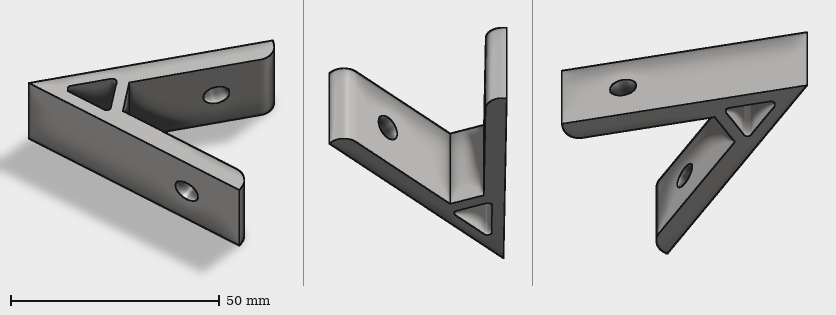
import cadquery as cq
import math

leg_length = 60.0
leg_angle = 45.0
leg_thickness = 5.05
depth = 22.0
tip_radius = 4.0
web_position = 23.6
web_thickness = 3.0
cavity_wall = 3.0
cavity_radius = 1.0
hole_diameter = 6.4
hole_position = 45.0

half_angle = math.radians(leg_angle / 2)


def bisector_distance(along, across):
    """Distance along the bisector of a point given along and across a leg."""
    return along * math.cos(half_angle) + across * math.sin(half_angle)


def mirrored(along, across):
    """Reflect a point of the flat leg onto the inclined leg."""
    angle = 2 * half_angle
    x = along * math.cos(angle) + across * math.sin(angle)
    y = along * math.sin(angle) - across * math.cos(angle)
    return x, y


def make_leg():
    """Flat leg with its inner tip edge rounded and a cross hole at mid-depth."""
    inner_start = leg_thickness / math.tan(half_angle)
    leg = (
        cq.Workplane("XY")
        .polyline([(0, 0), (leg_length, 0), (leg_length, leg_thickness), (inner_start, leg_thickness)])
        .close()
        .extrude(depth)
    )
    leg = leg.edges(">X and >Y").fillet(tip_radius)
    hole = (
        cq.Workplane("XZ", origin=(hole_position, 0, depth / 2))
        .circle(hole_diameter / 2)
        .extrude(-leg_thickness)
    )
    return leg.cut(hole)


def make_triangle(wall, end_distance):
    """Prism along the bisector, inset by wall from both legs and ending square to it."""
    tip = wall / math.tan(half_angle)
    end = (end_distance - wall * math.sin(half_angle)) / math.cos(half_angle)
    points = [(tip, wall), (end, wall), mirrored(end, wall)]
    return cq.Workplane("XY").polyline(points).close().extrude(depth)


flat_leg = make_leg()
inclined_leg = flat_leg.mirror("XZ").rotate((0, 0, 0), (0, 0, 1), leg_angle)

web_face = bisector_distance(web_position, leg_thickness)
corner = make_triangle(0, web_face)
cavity = make_triangle(cavity_wall, web_face - web_thickness).edges("|Z").fillet(cavity_radius)

result = flat_leg.union(inclined_leg).union(corner).cut(cavity)